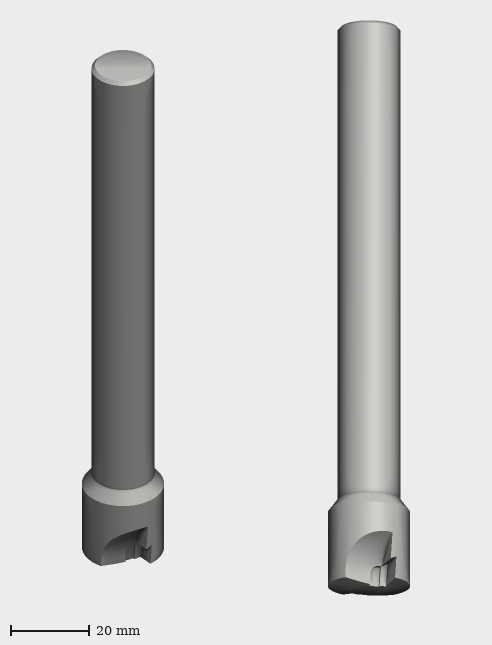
import cadquery as cq
import math

total_length = 148.9
shank_radius = 8.0
shank_chamfer = 0.9
head_radius = 10.5
head_height = 20.7
shoulder_height = 3.3
end_flat_radius = 4.5
end_cone_height = 1.2

flute_floor_x = 5.0
flute_straight_top = 2.4
flute_runout_top = 13.1
flute_wall_y = -0.6
wall_tilt = 4.5

seat_floor_x = 4.9
relief_floor_x = 4.3
seat_front_y = 2.1
seat_back_y = -2.4
seat_corner_z = 3.3
seat_arc_top = 5.0
seat_roof_top = 6.1
seat_roof_tilt = 8

cut_margin = 3
cut_outer_x = head_radius + cut_margin


def make_body():
    chamfered_radius = shank_radius - shank_chamfer
    return (
        cq.Workplane("XZ")
        .moveTo(0, 0)
        .lineTo(end_flat_radius, 0)
        .lineTo(head_radius, end_cone_height)
        .lineTo(head_radius, head_height)
        .lineTo(shank_radius, head_height + shoulder_height)
        .lineTo(shank_radius, total_length - shank_chamfer)
        .lineTo(chamfered_radius, total_length)
        .lineTo(0, total_length)
        .close()
        .revolve(360, (0, 0, 0), (0, 1, 0))
    )


def space_before_wall():
    """Everything on the -Y side of the tilted flute wall."""
    wall_y = -flute_wall_y
    return (
        cq.Workplane("XY")
        .box(2 * cut_outer_x, 2 * cut_outer_x, 4 * cut_outer_x)
        .translate((0, wall_y - cut_outer_x, 0))
        .rotate((0, wall_y, 0), (1, wall_y, 0), -wall_tilt)
    )


def make_flute():
    """Flute on the +X side, open towards -Y, with a slightly tilted wall."""
    rise = flute_runout_top - flute_straight_top
    run = head_radius - flute_floor_x
    arc_radius = (run**2 + rise**2) / (2 * run)
    half_sweep = math.asin(rise / arc_radius) / 2
    arc_middle = (
        flute_floor_x + arc_radius * (1 - math.cos(half_sweep)),
        flute_straight_top + arc_radius * math.sin(half_sweep),
    )
    floor_profile = (
        cq.Workplane("XZ", origin=(0, head_radius, 0))
        .moveTo(flute_floor_x, -cut_margin)
        .lineTo(flute_floor_x, flute_straight_top)
        .threePointArc(arc_middle, (head_radius, flute_runout_top))
        .lineTo(cut_outer_x, flute_runout_top)
        .lineTo(cut_outer_x, -cut_margin)
        .close()
        .extrude(2 * head_radius)
    )
    return floor_profile.intersect(space_before_wall())


def make_seat(floor_x):
    """Recess from floor_x outwards on the +X side, with a rounded front corner and rising roof."""
    corner_y = -seat_front_y
    arc_end_y = -flute_wall_y
    back_y = -seat_back_y
    tilt_slope = math.tan(math.radians(wall_tilt))
    arc_middle = (
        corner_y + (arc_end_y - corner_y) * (1 - math.sqrt(0.5)),
        seat_corner_z + (seat_arc_top - seat_corner_z) * math.sqrt(0.5),
    )
    seat = (
        cq.Workplane("YZ")
        .moveTo(corner_y, -cut_margin)
        .lineTo(corner_y, seat_corner_z)
        .threePointArc(arc_middle, (arc_end_y, seat_arc_top))
        .lineTo(back_y + seat_roof_top * tilt_slope, seat_roof_top)
        .lineTo(back_y - cut_margin * tilt_slope, -cut_margin)
        .close()
        .extrude(cut_outer_x)
    )
    seat = seat.rotate((seat_floor_x, 0, 0), (seat_floor_x, 1, 0), -seat_roof_tilt)
    outside_floor = (
        cq.Workplane("XY")
        .box(2 * cut_outer_x, 2 * cut_outer_x, 2 * cut_outer_x)
        .translate((floor_x + cut_outer_x, 0, 0))
    )
    return seat.intersect(outside_floor)


result = make_body()
relief = make_seat(relief_floor_x).intersect(space_before_wall())
cutter = make_flute().union(make_seat(seat_floor_x)).union(relief)
for angle in (0, 180):
    result = result.cut(cutter.rotate((0, 0, 0), (0, 0, 1), angle))